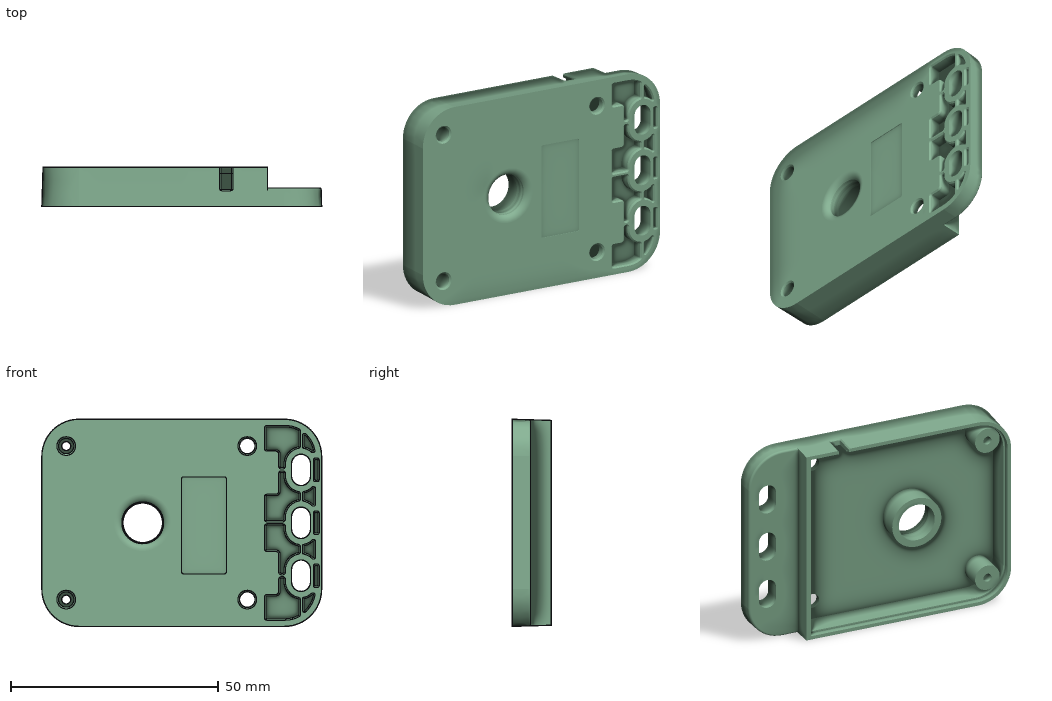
import cadquery as cq
import math


length = 67.5
height = 50.0
depth = 9.5
corner_radius = 9.0
side_draft = 1.75
overlap = 1.0

ledge_start_x = 20.7
ledge_depth = 4.5
ledge_fillet = 0.5

plate_depth = 2.0
wall = 1.7
rebate_wall = 1.2
rebate_start_y = 8.0

notch_left_x = 9.4
notch_right_x = 12.05
notch_start_y = 4.1
notch_chamfer = 0.3
notch_corner_radius = 0.3

bore_x = -9.4
bore_diameter = 9.5
bore_mouth_diameter = 13.7
bore_lip_radius = 2.0
bore_lip_diameter = 10.1
bore_lip_end_y = 1.7
bore_entry_diameter = 9.85
bore_entry_start_y = 2.2
bore_entry_end_y = 3.0
bore_cone_end_y = 3.7
tube_diameter = 13.0
tube_end_y = 7.5

left_hole_x = -27.85
right_hole_x = 15.8
hole_z = 18.5
hole_diameter = 3.7
hole_chamfer = 0.4
pilot_diameter = 2.1
counterbore_depth = 5.0
boss_diameter = 6.5

label_left_x = -0.05
label_right_x = 10.75
label_bottom_z = -12.3
label_top_z = 11.1
label_depth = 0.2
label_corner_radius = 0.5

slot_x = 28.75
slot_pitch = 12.75
slot_heights = (-slot_pitch, 0, slot_pitch)
slot_width = 4.5
slot_height = 7.5
ring_radius = 3.75

pocket_depth = 3.0
pocket_rim = 0.35
pocket_corner_radius = 0.35
fan_corner_radius = 0.15
bar_corner_radius = 0.2
step_corner_radius = 1.0
pocket_border = 1.5
rib = 0.45
rib_x = 28.85
pocket_left_x = 19.9
neck_left_x = 23.35
outer_step_z = 17.25
inner_step_z = 6.9
fan_right_x = 32.35
bar_left_x = 31.7
bar_right_x = 33.15
bar_height = 5.7


def block(x0, x1, y0, y1, z0, z1):
    """Box between the given limits."""
    return cq.Workplane("XY").box(x1 - x0, y1 - y0, z1 - z0, centered=False).translate((x0, y0, z0))


def prism_plane(end_y):
    """Sketch plane at end_y whose extrusions run toward the front."""
    return cq.Workplane("XZ", origin=(0, end_y, 0))


def cylinder(x, z, diameter, y0, y1):
    """Cylinder along Y."""
    return prism_plane(y1).center(x, z).circle(diameter / 2).extrude(y1 - y0)


def rounded_block(x0, x1, y0, y1, z0, z1, radius):
    """Box with rounded edges along Y."""
    return block(x0, x1, y0, y1, z0, z1).edges("|Y").fillet(radius)


def stadium(z, radius, y0, y1):
    """Upright stadium prism centred on a strap slot."""
    straight = slot_height - slot_width
    plane = prism_plane(y1).center(slot_x, z)
    return plane.slot2D(straight + 2 * radius, 2 * radius, 90).extrude(y1 - y0)


def housing():
    """Drafted outer body with the ledge step and its rounded back edge."""
    body = (
        cq.Workplane("XZ")
        .sketch()
        .rect(length, height)
        .vertices()
        .fillet(corner_radius)
        .finalize()
        .extrude(-depth, taper=side_draft)
    )
    step = block(ledge_start_x, length, ledge_depth, depth + overlap, -height, height)
    body = body.cut(step)
    ledge_back = cq.selectors.BoxSelector(
        (ledge_start_x + overlap, ledge_depth - 0.1, -height), (length, ledge_depth + 0.1, height)
    )
    return body.edges(ledge_back).fillet(ledge_fillet)


def cavity_layer(side_wall, y0, y1):
    """Slice of the cavity set in by side_wall, rounded at -X and square beside the ledge."""
    x0 = side_wall - length / 2
    x1 = ledge_start_x - side_wall
    z1 = height / 2 - side_wall
    return block(x0, x1, y0, y1, -z1, z1).edges("|Y and <X").fillet(corner_radius - side_wall)


def cavity():
    """Cavity with a rebate at the back."""
    return cavity_layer(wall, plate_depth, depth + overlap).union(
        cavity_layer(rebate_wall, rebate_start_y, depth + overlap)
    )


def with_notch(body):
    """Cut a notch through the top wall and chamfer its outer edges."""
    z0 = height / 2 - 2 * wall
    z1 = height / 2 + overlap
    tool = block(notch_left_x, notch_right_x, notch_start_y, depth + overlap, z0, z1)
    body = body.cut(tool.edges("|Z and <Y").fillet(notch_corner_radius))
    outer_edges = cq.selectors.BoxSelector(
        (notch_left_x - 0.1, notch_start_y - 0.1, height / 2 - rebate_wall / 2),
        (notch_right_x + 0.1, depth - 0.1, z1),
    )
    return body.edges(outer_edges).chamfer(notch_chamfer)


def bore():
    """Bore with a rounded lip and two conical steps, revolved about its axis."""
    r_bore = bore_diameter / 2
    r_entry = bore_entry_diameter / 2
    r_lip = bore_lip_diameter / 2
    r_mouth = bore_mouth_diameter / 2
    lip_angle = math.asin((r_mouth - r_lip) / bore_lip_radius)

    def lip_point(angle):
        return r_mouth - bore_lip_radius * math.sin(angle), bore_lip_radius * (1 - math.cos(angle))

    return (
        cq.Workplane("XY")
        .lineTo(r_mouth, 0)
        .threePointArc(lip_point(lip_angle / 2), lip_point(lip_angle))
        .lineTo(r_lip, bore_lip_end_y)
        .lineTo(r_entry, bore_entry_start_y)
        .lineTo(r_entry, bore_entry_end_y)
        .lineTo(r_bore, bore_cone_end_y)
        .lineTo(r_bore, depth)
        .lineTo(0, depth)
        .close()
        .revolve(360, (0, 0), (0, 1))
        .translate((bore_x, 0, 0))
    )


def hole_mouth(x, z):
    """Conical mouth of a screw hole."""
    cone = cq.Solid.makeCone(
        hole_diameter / 2 + hole_chamfer, hole_diameter / 2, hole_chamfer, cq.Vector(x, 0, z), cq.Vector(0, 1, 0)
    )
    return cq.Workplane(obj=cone)


def round_step(blank, x, z):
    """Round the inward corner where a pocket narrows into its neck."""
    corner = cq.selectors.NearestToPointSelector((x, pocket_depth / 2, z))
    return blank.edges("|Y").edges(corner).fillet(step_corner_radius)


def pocket_blanks():
    """Pockets above Z = 0 with their corner radii, before rings and border are taken off."""
    left_end = rib_x - rib / 2 - pocket_rim
    right_start = rib_x + rib / 2 + pocket_rim
    neck_x = neck_left_x + pocket_rim
    left_x = pocket_left_x + pocket_rim
    half_rib = rib / 2 + pocket_rim
    top = height / 2

    def blank(x0, x1, z0, z1):
        return block(x0, x1, 0, pocket_depth, z0, z1)

    upper = blank(left_x, left_end, outer_step_z + pocket_rim, top)
    upper_neck = blank(neck_x, left_end, slot_pitch + half_rib, top)
    lower = blank(left_x, left_end, half_rib, inner_step_z - pocket_rim)
    lower_neck = blank(neck_x, left_end, half_rib, slot_pitch - half_rib)
    corner_fan = blank(right_start, length / 2, slot_pitch, top)
    fan = blank(right_start, fan_right_x - pocket_rim, 0, slot_pitch)
    return [
        (round_step(upper.union(upper_neck), neck_x, outer_step_z + pocket_rim), pocket_corner_radius),
        (round_step(lower.union(lower_neck), neck_x, inner_step_z - pocket_rim), pocket_corner_radius),
        (corner_fan, fan_corner_radius),
        (fan, fan_corner_radius),
    ]


def bar_pocket(z):
    """Narrow upright pocket between a ring and the +X side."""
    half = bar_height / 2 - pocket_rim
    return rounded_block(
        bar_left_x + pocket_rim, bar_right_x - pocket_rim, 0, pocket_depth, z - half, z + half, bar_corner_radius
    )


def pockets():
    """All pockets, up to the inner edge of their rims."""
    inset = pocket_border + pocket_rim
    x = length / 2 - inset
    z = height / 2 - inset
    border = rounded_block(-x, x, 0, pocket_depth, -z, z, corner_radius - inset)
    tools = [bar_pocket(z) for z in slot_heights]
    for blank, radius in pocket_blanks():
        tool = blank.intersect(border)
        for z in slot_heights:
            tool = tool.cut(stadium(z, ring_radius + pocket_rim, 0, pocket_depth))
        largest = max(tool.solids().vals(), key=lambda solid: solid.Volume())
        tool = cq.Workplane(obj=largest).edges("|Y").fillet(radius)
        tools.append(tool)
        tools.append(tool.mirror("XY"))
    return tools


def with_pockets(body):
    """Cut the pockets and chamfer their rims, the only openings in the front face at this stage."""
    for tool in pockets():
        body = body.cut(tool)
    rims = [edge for wire in body.faces("<Y").val().innerWires() for edge in wire.Edges()]
    return body.newObject(rims).chamfer(pocket_rim)


def with_bore(body):
    """Add the tube inside the cavity and bore it through."""
    tube = cylinder(bore_x, 0, tube_diameter, 0, tube_end_y)
    return body.union(tube).cut(bore())


def with_screw_holes(body):
    """Counterbored holes in bosses on the left and plain holes on the right."""
    for z in (-hole_z, hole_z):
        body = body.union(cylinder(left_hole_x, z, boss_diameter, 0, rebate_start_y))
        body = body.cut(cylinder(left_hole_x, z, hole_diameter, 0, counterbore_depth))
        body = body.cut(cylinder(left_hole_x, z, pilot_diameter, 0, depth))
        body = body.cut(cylinder(right_hole_x, z, hole_diameter, 0, plate_depth))
        for x in (left_hole_x, right_hole_x):
            body = body.cut(hole_mouth(x, z))
    return body


def label_recess():
    """Shallow rectangular recess in the front."""
    return rounded_block(
        label_left_x, label_right_x, 0, label_depth, label_bottom_z, label_top_z, label_corner_radius
    )


part = with_pockets(housing())
for slot_z in slot_heights:
    part = part.cut(stadium(slot_z, slot_width / 2, 0, depth))
part = with_notch(part.cut(cavity()))
part = with_bore(part)
part = with_screw_holes(part)
result = part.cut(label_recess())